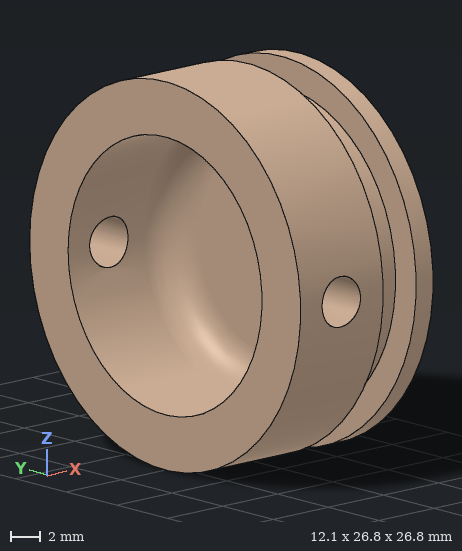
import cadquery as cq

outer_diameter = 26.75
body_length = 7.5
groove_length = 3.0
flange_length = 1.55
groove_diameter = 22.68
bore_diameter = 19.13
bore_depth = 9.5
bore_floor_radius = 2.51
cross_hole_diameter = 3.48

total_length = body_length + groove_length + flange_length
cross_hole_x = 3.7


def disc(start_x, length, diameter):
    """Cylinder along X, starting at start_x."""
    return cq.Workplane("YZ", origin=(start_x, 0, 0)).circle(diameter / 2).extrude(length)


core = disc(0, total_length, groove_diameter)
body = disc(0, body_length, outer_diameter)
flange = disc(body_length + groove_length, flange_length, outer_diameter)
turned_blank = core.union(body).union(flange)

bore = disc(0, bore_depth, bore_diameter).faces(">X").edges().fillet(bore_floor_radius)

cross_hole = (
    cq.Workplane("XZ")
    .center(cross_hole_x, 0)
    .circle(cross_hole_diameter / 2)
    .extrude(outer_diameter / 2, both=True)
)

result = turned_blank.cut(bore).cut(cross_hole)